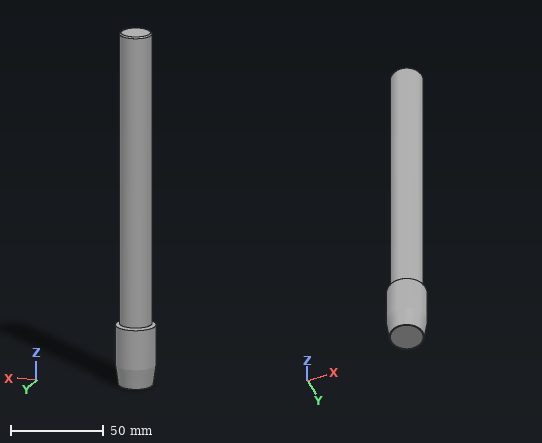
import cadquery as cq

total_length = 200.0
rod_diameter = 17.8
rod_chamfer = 0.8

sleeve_diameter = 22.2
sleeve_tip_diameter = 19.0
sleeve_taper_height = 11.5
sleeve_rim_height = 34.0
sleeve_slope_height = 0.8

rod_radius = rod_diameter / 2
sleeve_radius = sleeve_diameter / 2
tip_radius = sleeve_tip_diameter / 2


def make_rod():
    """Plain round rod along Z with a chamfered upper end."""
    rod = cq.Workplane("XY").circle(rod_radius).extrude(total_length)
    return rod.faces(">Z").edges().chamfer(rod_chamfer)


def make_sleeve():
    """Sleeve around the lower end of the rod, tapered at the bottom and sloped on top."""
    half_section = (
        cq.Workplane("XZ")
        .moveTo(rod_radius, 0)
        .lineTo(tip_radius, 0)
        .lineTo(sleeve_radius, sleeve_taper_height)
        .lineTo(sleeve_radius, sleeve_rim_height)
        .lineTo(rod_radius, sleeve_rim_height + sleeve_slope_height)
        .close()
    )
    return half_section.revolve(360, (0, 0, 0), (0, 1, 0))


rod = make_rod()
sleeve = make_sleeve()

result = cq.Compound.makeCompound([rod.val(), sleeve.val()])